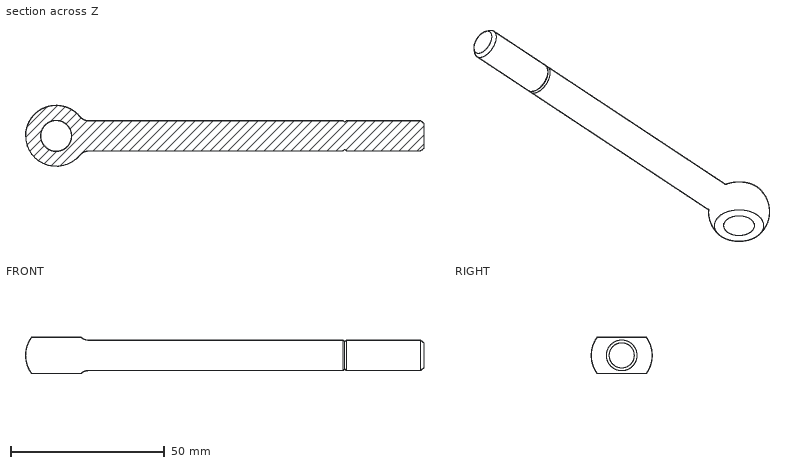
import cadquery as cq
import math

total_length = 130.0
ball_diameter = 20.0
eye_thickness = 12.0
hole_diameter = 10.0
shank_diameter = 10.0
neck_fillet = 3.5
groove_width = 1.0
groove_depth = 0.5
thread_length = 25.4
tip_chamfer_length = 1.2
tip_chamfer_depth = 0.9

ball_radius = ball_diameter / 2
shank_radius = shank_diameter / 2
tip_x = total_length - ball_radius
groove_end_x = tip_x - thread_length
groove_start_x = groove_end_x - groove_width

neck_center_y = shank_radius + neck_fillet
center_distance = ball_radius + neck_fillet
neck_end_x = math.sqrt(center_distance**2 - neck_center_y**2)
neck_angle = math.atan2(neck_center_y, neck_end_x)
neck_start = (ball_radius * math.cos(neck_angle), ball_radius * math.sin(neck_angle))
neck_mid_angle = (neck_angle + math.pi / 2) / 2
neck_mid = (
    neck_end_x - neck_fillet * math.cos(neck_mid_angle),
    neck_center_y - neck_fillet * math.sin(neck_mid_angle),
)


def make_turned_body():
    """Ball, neck, grooved shank and chamfered tip, revolved about X."""
    return (
        cq.Workplane("XY")
        .moveTo(-ball_radius, 0)
        .threePointArc((0, ball_radius), neck_start)
        .threePointArc(neck_mid, (neck_end_x, shank_radius))
        .lineTo(groove_start_x, shank_radius)
        .lineTo(groove_start_x + groove_width / 2, shank_radius - groove_depth)
        .lineTo(groove_end_x, shank_radius)
        .lineTo(tip_x - tip_chamfer_length, shank_radius)
        .lineTo(tip_x, shank_radius - tip_chamfer_depth)
        .lineTo(tip_x, 0)
        .close()
        .revolve(360, (0, 0, 0), (1, 0, 0))
    )


def make_flat_limits():
    """Slab whose top and bottom faces form the flats of the eye."""
    return cq.Workplane("XY").box(2 * total_length, 2 * ball_diameter, eye_thickness)


def make_eye_hole():
    """Cylinder through the eye along Z."""
    return cq.Workplane("XY").circle(hole_diameter / 2).extrude(eye_thickness, both=True)


result = make_turned_body().intersect(make_flat_limits()).cut(make_eye_hole())